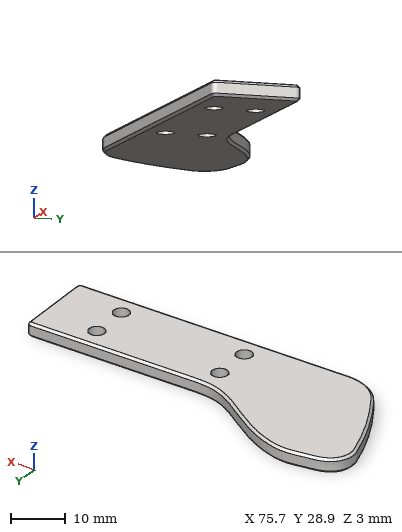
import cadquery as cq
import math

length = 75.74
shank_width = 17.0
thickness = 3.0
edge_chamfer = 0.5
shank_corner_radius = 1.0

heel_start = (16.1, 0.0)
heel_end = (7.9, 4.5)
tip_start = (0.18, 21.6)
upper_edge_points = [
    (0.85, 25.75),
    (3.2, 27.6),
    (7.0, 28.4),
    (11.0, 28.86),
    (16.3, 27.8),
    (24.2, 23.5),
    (31.0, 18.95),
    (34.7, 17.45),
]
shank_start = (40.5, shank_width)
shank_tangent = (1.0, 0.0)

hole_diameter = 3.3
hole_spacing_x = 27.0
hole_spacing_y = 8.0
hole_end_distance = 12.4


def rise_angle(start, end):
    """Angle of the chord from start to end, measured up from the -X direction."""
    return math.atan2(end[1] - start[1], start[0] - end[0])


def tip_tangent():
    """Direction in which the blade's front arc arrives at the tip.

    A tangent arc turns by twice the angle between its first direction and its chord.
    """
    heel_end_angle = 2 * rise_angle(heel_start, heel_end)
    tip_angle = 2 * rise_angle(heel_end, tip_start) - heel_end_angle
    return (-math.cos(tip_angle), math.sin(tip_angle))


def make_plate():
    """Flat plate: straight shank on the right, curved blade on the left."""
    outline = (
        cq.Workplane("XY")
        .moveTo(length, 0)
        .lineTo(*heel_start)
        .tangentArcPoint(heel_end, relative=False)
        .tangentArcPoint(tip_start, relative=False)
        .spline(
            upper_edge_points + [shank_start],
            tangents=[tip_tangent(), shank_tangent],
            scale=False,
            includeCurrent=True,
        )
        .lineTo(length, shank_width)
        .close()
    )
    plate = outline.extrude(thickness)
    return plate.edges("|Z and >X").fillet(shank_corner_radius)


def chamfer_rims(plate):
    """Chamfer the outer rim of the upper and lower faces."""
    return plate.faces("<Z or >Z").edges().chamfer(edge_chamfer)


def drill_holes(plate):
    """Cut the four through holes in the shank."""
    pattern_x = length - hole_end_distance - hole_spacing_x / 2
    pattern_y = shank_width / 2
    holes = (
        cq.Workplane("XY")
        .center(pattern_x, pattern_y)
        .rarray(hole_spacing_x, hole_spacing_y, 2, 2)
        .circle(hole_diameter / 2)
        .extrude(thickness)
    )
    return plate.cut(holes)


result = drill_holes(chamfer_rims(make_plate()))